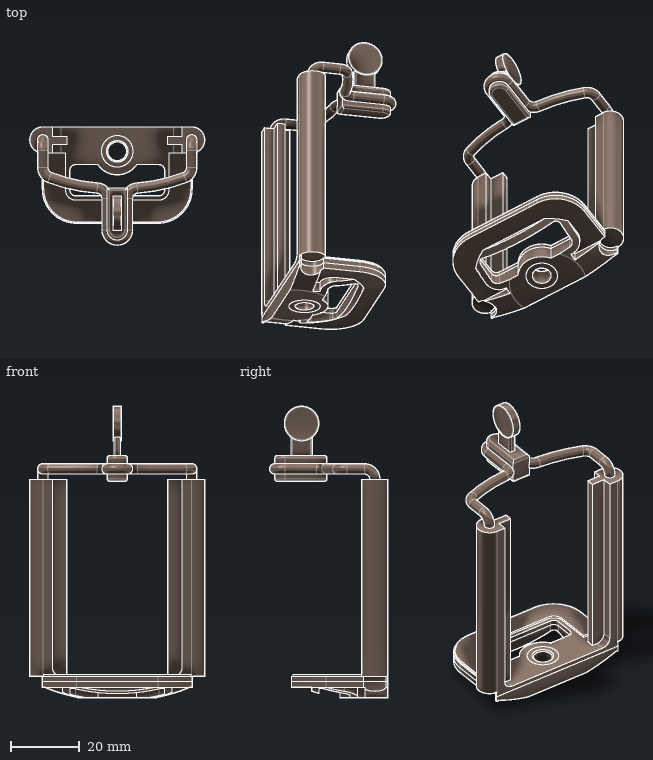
import cadquery as cq
import math


base_half_width = 21.85
base_depth = 28.15
base_corner_radius = 10.0
plate_bottom = 3.1
layer_joint = 4.8
plate_top = 6.3

post_depth = 7.65
post_radius = post_depth / 2
overall_half_width = 25.5
post_axis_x = overall_half_width - post_radius
post_axis_y = -post_radius
post_top = 63.7
post_inner_x = 18.9
post_foot_radius = 2.55
fin_inner_x = 14.7
fin_thickness = 2.3
fin_axis_y = -4.0
socket_radius = 3.3

slot_half_width = 13.8
slot_back = -11.05
slot_front = -20.1
slot_corner_radius = 1.6
boss_axis_y = -7.15
boss_radius = 6.9

dome_radius = 56.1
dome_flat_radius = 11.2
dome_axis_y = -3.8
rib_wall = 2.2
back_rib_depth = 6.7

insert_radius = 4.6
insert_bore_radius = 2.7
insert_chamfer = 0.4

rim_height = 0.6
rim_inset = 0.4
rim_slot_margin = 1.3

wire_radius = 1.5
bail_z = 66.75
bail_bend_radius = bail_z - post_top
bail_outer_x = post_axis_x
bail_inner_x = 3.0
bail_first_bend_y = -11.9
bail_outer_angle = math.radians(21)
bail_inner_angle = math.radians(4)
overall_depth = 34.5
bail_nose_y = -overall_depth + wire_radius + bail_inner_x

hook_half_width = bail_inner_x
hook_back = -17.8
hook_bottom = 63.1
hook_top = 70.7
hook_edge_radius = 0.8
overall_height = 85.0
disc_radius = 5.06
disc_thickness = 2.5
disc_y = -25.2
disc_z = overall_height - disc_radius
dish_radius = 4.8
dish_depth = 0.25
stem_width = 6.2
stem_thickness = 1.95
stem_edge_radius = 0.5


def box(x_min, x_max, y_min, y_max, z_min, z_max):
    """Block given by its limits along each axis."""
    size = (x_max - x_min, y_max - y_min, z_max - z_min)
    return cq.Workplane("XY").box(*size, centered=False).translate((x_min, y_min, z_min))


def cylinder(x, y, radius, z_min, z_max):
    """Upright cylinder."""
    return cq.Workplane("XY", origin=(x, y, z_min)).circle(radius).extrude(z_max - z_min)


def base_outline(inset, z_min, z_max):
    """Plate outline with two round front corners, moved inward by the inset at the sides and front."""
    half_width = base_half_width - inset
    block = box(-half_width, half_width, inset - base_depth, 0, z_min, z_max)
    return block.edges("|Z and <Y").fillet(base_corner_radius - inset)


def slot_block(margin, z_min, z_max):
    """Rounded rectangle of the slot, grown outward by the margin."""
    half_width = slot_half_width + margin
    block = box(-half_width, half_width, slot_front - margin, slot_back + margin, z_min, z_max)
    return block.edges("|Z").fillet(slot_corner_radius + margin)


def make_ribs():
    """Back rib, ring around the slot and the web joining them, all ending on one flat-bottomed dome."""
    back_rib = box(-base_half_width, base_half_width, -back_rib_depth, 0, 0, plate_bottom)
    web = box(-dome_flat_radius, dome_flat_radius, slot_back, 0, 0, plate_bottom)
    ring = slot_block(rib_wall, 0, plate_bottom)
    dome_center_z = math.sqrt(dome_radius**2 - dome_flat_radius**2)
    dome = cq.Workplane("XY").sphere(dome_radius).translate((0, dome_axis_y, dome_center_z))
    return back_rib.union(web).union(ring).intersect(dome)


def make_post():
    """Right-hand post: a half-round column with a fin on its inner side and rounded feet beside the fin."""
    height = post_top - plate_top
    column = (
        cq.Workplane("XY", origin=(0, 0, plate_top))
        .moveTo(post_inner_x, 0)
        .lineTo(post_axis_x, 0)
        .threePointArc((overall_half_width, post_axis_y), (post_axis_x, -post_depth))
        .lineTo(post_inner_x, -post_depth)
        .close()
        .extrude(height)
    )
    fin_front = fin_axis_y - fin_thickness / 2
    fin = box(fin_inner_x, post_inner_x, fin_front, fin_front + fin_thickness, plate_top, post_top)
    foot_block = box(
        post_inner_x - post_foot_radius, post_inner_x, -post_depth, 0, plate_top, plate_top + post_foot_radius
    )
    foot_hollow = (
        cq.Workplane("XZ", origin=(post_inner_x - post_foot_radius, 0, plate_top + post_foot_radius))
        .circle(post_foot_radius)
        .extrude(post_depth)
    )
    return column.union(fin).union(foot_block.cut(foot_hollow))


def make_rim():
    """Raised U-shaped rim around the slot, with its ends against the posts."""
    rim_top = plate_top + rim_height
    opening = slot_block(rim_slot_margin, plate_top, rim_top)
    opening_half_width = slot_half_width + rim_slot_margin
    mouth_front = (slot_back + slot_front) / 2
    mouth = box(-opening_half_width, opening_half_width, mouth_front, 0, plate_top, rim_top)
    post_space = box(-base_half_width, base_half_width, -post_depth, 0, plate_top, rim_top)
    return base_outline(rim_inset, plate_top, rim_top).cut(opening).cut(mouth).cut(post_space)


def cut_plate_openings(layer):
    """Cut the slot, the insert seat and the two side sockets through a layer of the plate."""
    slot = slot_block(0, 0, plate_top).cut(cylinder(0, boss_axis_y, boss_radius, 0, plate_top))
    layer = layer.cut(slot).cut(cylinder(0, boss_axis_y, insert_radius, 0, plate_top))
    for side in (-1, 1):
        layer = layer.cut(cylinder(side * post_axis_x, post_axis_y, socket_radius, 0, plate_top))
    return layer


def make_base():
    """Lower layer of the plate with the domed ribs under it."""
    return cut_plate_openings(base_outline(0, plate_bottom, layer_joint).union(make_ribs()))


def make_frame():
    """Upper layer of the plate with its raised rim, carrying both posts."""
    post = make_post()
    plate = cut_plate_openings(base_outline(0, layer_joint, plate_top))
    return plate.union(make_rim()).union(post).union(post.mirror("YZ"))


def make_insert():
    """Plain-bored bushing with a chamfered mouth, flush with the plate."""
    bushing = cylinder(0, boss_axis_y, insert_radius, 0, plate_top)
    bushing = bushing.faces(">Z").workplane().hole(2 * insert_bore_radius)
    bore_edge = cq.selectors.RadiusNthSelector(0)
    return bushing.faces(">Z").edges(bore_edge).chamfer(insert_chamfer)


def bail_half_path():
    """Edges of the left half of the bail's centre line, from the post to the straight side of the nose."""
    rise = cq.Vector(0, 0, 1)
    forward = cq.Vector(0, -1, 0)
    outer_heading = cq.Vector(math.cos(bail_outer_angle), -math.sin(bail_outer_angle), 0)
    inner_heading = cq.Vector(math.cos(bail_inner_angle), -math.sin(bail_inner_angle), 0)

    foot = cq.Vector(-bail_outer_x, post_axis_y, post_top)
    elbow = cq.Vector(-bail_outer_x, post_axis_y - bail_bend_radius, bail_z)
    arm_end = cq.Vector(-bail_outer_x, bail_first_bend_y, bail_z)
    bow_start = arm_end + cq.Vector(
        bail_bend_radius * (1 - math.sin(bail_outer_angle)), -bail_bend_radius * math.cos(bail_outer_angle), 0
    )
    bow_end_x = -bail_inner_x - bail_bend_radius * (1 - math.sin(bail_inner_angle))
    bow_radius = (bow_end_x - bow_start.x) / (math.sin(bail_outer_angle) - math.sin(bail_inner_angle))
    bow_drop = bow_radius * (math.cos(bail_inner_angle) - math.cos(bail_outer_angle))
    bow_end = cq.Vector(bow_end_x, bow_start.y - bow_drop, bail_z)
    nose_start = cq.Vector(-bail_inner_x, bow_end.y - bail_bend_radius * math.cos(bail_inner_angle), bail_z)
    nose_side_end = cq.Vector(-bail_inner_x, bail_nose_y, bail_z)

    return [
        cq.Edge.makeTangentArc(foot, rise, elbow),
        cq.Edge.makeLine(elbow, arm_end),
        cq.Edge.makeTangentArc(arm_end, forward, bow_start),
        cq.Edge.makeTangentArc(bow_start, outer_heading, bow_end),
        cq.Edge.makeTangentArc(bow_end, inner_heading, nose_start),
        cq.Edge.makeLine(nose_start, nose_side_end),
    ]


def make_bail():
    """Round wire bent from one post top, around the hook, to the other post top."""
    left = bail_half_path()
    right = [edge.mirror("YZ") for edge in left]
    nose = cq.Edge.makeThreePointArc(
        cq.Vector(-bail_inner_x, bail_nose_y, bail_z),
        cq.Vector(0, bail_nose_y - bail_inner_x, bail_z),
        cq.Vector(bail_inner_x, bail_nose_y, bail_z),
    )
    path = cq.Wire.assembleEdges([*left, nose, *reversed(right)])
    section = cq.Workplane("XY", origin=(-bail_outer_x, post_axis_y, post_top)).circle(wire_radius)
    return section.sweep(cq.Workplane(path))


def make_dished_disc():
    """Upright disc with a shallow round dish in each face, turned about its own axis along X."""
    half_thickness = disc_thickness / 2
    sphere_radius = (dish_radius**2 + dish_depth**2) / (2 * dish_depth)
    sphere_x = half_thickness - dish_depth + sphere_radius
    middle_radius = dish_radius / 2
    middle_x = sphere_x - math.sqrt(sphere_radius**2 - middle_radius**2)
    center_x = half_thickness - dish_depth
    return (
        cq.Workplane("XY", origin=(0, disc_y, disc_z))
        .moveTo(-center_x, 0)
        .threePointArc((-middle_x, middle_radius), (-half_thickness, dish_radius))
        .lineTo(-half_thickness, disc_radius)
        .lineTo(half_thickness, disc_radius)
        .lineTo(half_thickness, dish_radius)
        .threePointArc((middle_x, middle_radius), (center_x, 0))
        .close()
        .revolve(360, (0, 0, 0), (1, 0, 0))
    )


def make_hook(bail):
    """Block gripped by the bail, with a stem and a dished disc above it."""
    block = (
        cq.Workplane("XY", origin=(0, 0, hook_bottom))
        .moveTo(-hook_half_width, hook_back)
        .lineTo(-hook_half_width, bail_nose_y)
        .threePointArc((0, bail_nose_y - hook_half_width), (hook_half_width, bail_nose_y))
        .lineTo(hook_half_width, hook_back)
        .close()
        .extrude(hook_top - hook_bottom)
        .faces("<Z or >Z")
        .edges()
        .fillet(hook_edge_radius)
    )
    stem = (
        cq.Workplane("XY", origin=(0, disc_y, hook_top))
        .rect(stem_thickness, stem_width)
        .extrude(disc_z - stem_width / 2 - hook_top)
        .edges("|Z")
        .fillet(stem_edge_radius)
    )
    return block.union(stem).union(make_dished_disc()).cut(bail)


base = make_base()
frame = make_frame()
insert = make_insert()
bail = make_bail()
hook = make_hook(bail)

result = cq.Compound.makeCompound([base.val(), frame.val(), insert.val(), bail.val(), hook.val()])